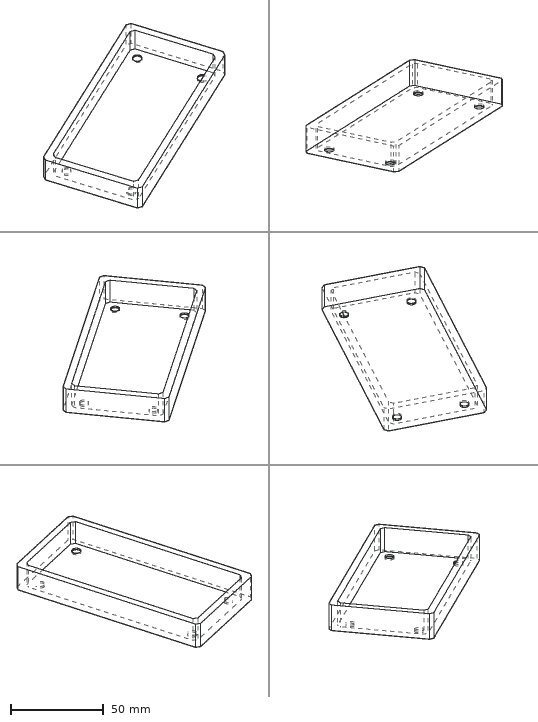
import cadquery as cq

width = 58.0
length = 115.0
height = 15.0

wall = 4.0
floor_thickness = 1.0
corner_chamfer = 2.0

hole_diameter = 5.0
hole_edge_distance = 10.0


def chamfered_block(size_x, size_y, size_z):
    """Block standing on Z = 0, centred in X and Y, with chamfered vertical edges."""
    block = cq.Workplane("XY").box(size_x, size_y, size_z, centered=(True, True, False))
    return block.edges("|Z").chamfer(corner_chamfer)


def make_cavity():
    """Open-topped pocket that leaves the walls and the floor."""
    cavity = chamfered_block(width - 2 * wall, length - 2 * wall, height - floor_thickness)
    return cavity.translate((0, 0, floor_thickness))


def make_holes():
    """Cylinders for the four holes near the floor corners."""
    return (
        cq.Workplane("XY")
        .rect(width - 2 * hole_edge_distance, length - 2 * hole_edge_distance, forConstruction=True)
        .vertices()
        .circle(hole_diameter / 2)
        .extrude(floor_thickness)
    )


result = chamfered_block(width, length, height).cut(make_cavity()).cut(make_holes())